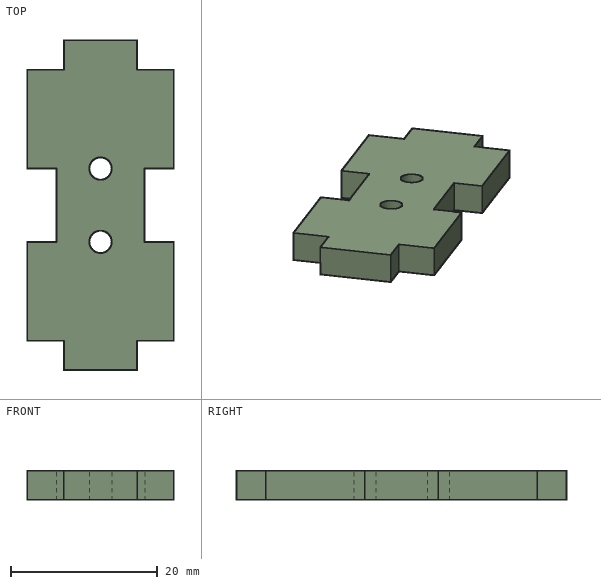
import cadquery as cq

length = 45.0
width = 20.0
thickness = 4.0

tab_width = 10.0
tab_length = 4.0

waist_width = 12.0
waist_length = 10.0

hole_diameter = 3.0
hole_spacing = waist_length


def plate(size_x, size_y):
    """Plate of full thickness centred on the origin."""
    return cq.Workplane("XY").box(size_x, size_y, thickness)


pad_span = length - 2 * tab_length
pads = plate(width, pad_span).cut(plate(width, waist_length))
waist = plate(waist_width, pad_span)

tab_strip = plate(tab_width, length)

body = pads.union(waist).union(tab_strip).clean()

result = (
    body.faces(">Z")
    .workplane(origin=(0, 0, 0))
    .pushPoints([(0, -hole_spacing / 2), (0, hole_spacing / 2)])
    .hole(hole_diameter)
)